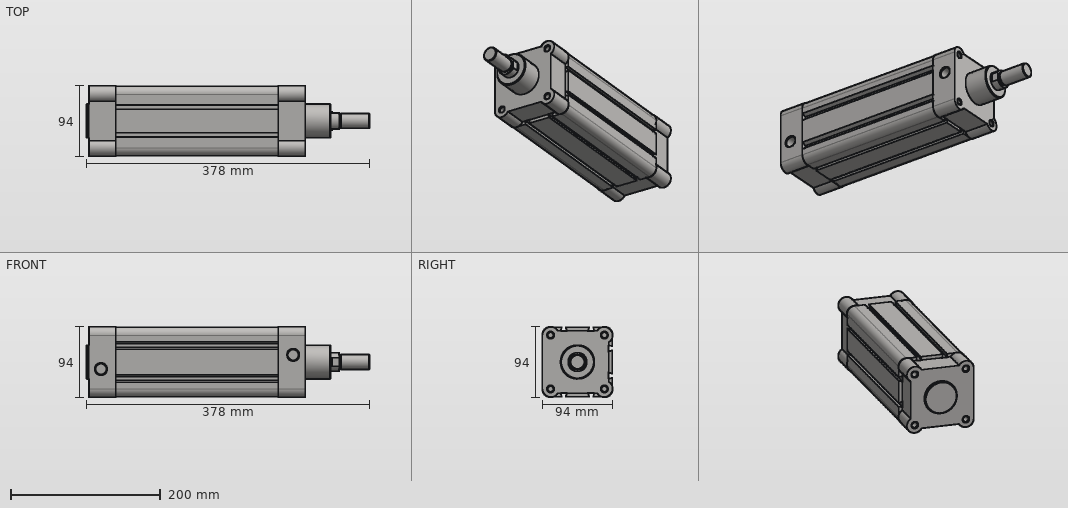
import cadquery as cq


total_length = 378.0
spigot_length = 3.5
cap_length = 36.0
rear_joint_x = spigot_length + cap_length
front_joint_x = 256.3
front_face_x = front_joint_x + cap_length
collar_end_x = 326.0

cap_width = 94.0
cap_half = cap_width / 2
bolt_offset = 36.0
boss_radius = cap_half - bolt_offset
recess_half = 41.5
bolt_hole_radius = 3.8
bolt_hole_depth = 15.0
bolt_hole_chamfer = 1.0
collar_radius = 22.5
collar_chamfer = 1.0

port_inset = 16.3
port_offset_z = 9.5
port_radius = 7.0
port_depth = 15.0
port_chamfer = 1.0

barrel_half = 46.5
barrel_corner_radius = barrel_half - bolt_offset

slot_mouth_inner = 16.0
slot_mouth_outer = 21.0
slot_floor_inner = 14.0
slot_floor_outer = 22.0
slot_depth = 5.3

groove_mouth_inner = 17.0
groove_mouth_outer = 27.2
groove_floor_inner = 19.5
groove_floor_outer = 24.5
groove_depth = 6.5

rod_radius = 12.5
flats_half = 11.0
flats_start_x = collar_end_x + 2.0
shoulder_x = 337.0
neck_radius = 9.0
neck_end_x = 339.0
thread_diameter = 20.0
thread_radius = thread_diameter / 2
thread_chamfer = thread_radius - neck_radius


def block(start_x, end_x, min_y, max_y, half_z):
    """Box between two X and two Y positions, symmetric in Z."""
    return cq.Workplane("XY").box(
        end_x - start_x, max_y - min_y, 2 * half_z, centered=False
    ).translate((start_x, min_y, -half_z))


def rod_along_x(start_x, end_x, radius):
    """Cylinder on the X axis."""
    return cq.Workplane("YZ", origin=(start_x, 0, 0)).circle(radius).extrude(end_x - start_x)


def chamfered_drill(radius, depth, chamfer, point, direction):
    """Tool for a blind hole with a chamfered mouth, drilled from a point."""
    start = cq.Vector(*point)
    axis = cq.Vector(*direction)
    bore = cq.Solid.makeCylinder(radius, depth, start, axis)
    mouth = cq.Solid.makeCone(radius + chamfer, radius, chamfer, start, axis)
    return bore.fuse(mouth)


def make_cap(joint_x, outward, port_z):
    """End cap on a barrel joint; outward is -1 for the rear cap and +1 for the front cap."""
    outer_x = joint_x + outward * cap_length
    start_x = min(joint_x, outer_x)
    end_x = max(joint_x, outer_x)

    cap = block(start_x, end_x, -bolt_offset, recess_half, recess_half)
    cap = cap.union(block(start_x, end_x, -cap_half, -bolt_offset, bolt_offset))

    corners = [(y, z) for y in (-bolt_offset, bolt_offset) for z in (-bolt_offset, bolt_offset)]
    bosses = cq.Workplane("YZ", origin=(start_x, 0, 0)).pushPoints(corners)
    cap = cap.union(bosses.circle(boss_radius).extrude(cap_length))

    for y, z in corners:
        cap = cap.cut(cq.Workplane(chamfered_drill(
            bolt_hole_radius, bolt_hole_depth, bolt_hole_chamfer, (outer_x, y, z), (-outward, 0, 0)
        )))

    port_x = outer_x - outward * port_inset
    port = chamfered_drill(
        port_radius, port_depth, port_chamfer, (port_x, -cap_half, port_z), (0, 1, 0)
    )
    return cap.cut(cq.Workplane(port))


def make_rear_cap():
    spigot = rod_along_x(0, spigot_length, collar_radius).faces("<X").chamfer(collar_chamfer)
    return make_cap(rear_joint_x, -1, -port_offset_z).union(spigot)


def make_front_cap():
    collar = rod_along_x(front_face_x, collar_end_x, collar_radius).faces(">X").chamfer(collar_chamfer)
    return make_cap(front_joint_x, 1, port_offset_z).union(collar)


def groove_pair(mouth_inner, mouth_outer, floor_inner, floor_outer, depth):
    """Tools for two mirrored grooves running along the +Z side of the barrel."""
    floor_z = barrel_half - depth
    pair = cq.Workplane("YZ", origin=(rear_joint_x, 0, 0))
    for side in (-1, 1):
        pair = pair.polyline([
            (side * mouth_inner, barrel_half),
            (side * mouth_outer, barrel_half),
            (side * floor_outer, floor_z),
            (side * floor_inner, floor_z),
        ]).close()
    return pair.extrude(front_joint_x - rear_joint_x)


def make_barrel():
    barrel = block(rear_joint_x, front_joint_x, -barrel_half, barrel_half, barrel_half)
    barrel = barrel.edges("|X").fillet(barrel_corner_radius)

    sensor_slots = groove_pair(
        slot_mouth_inner, slot_mouth_outer, slot_floor_inner, slot_floor_outer, slot_depth
    )
    for angle in (0, 180, 270):
        barrel = barrel.cut(sensor_slots.rotate((0, 0, 0), (1, 0, 0), angle))

    port_side_grooves = groove_pair(
        groove_mouth_inner, groove_mouth_outer, groove_floor_inner, groove_floor_outer, groove_depth
    )
    return barrel.cut(port_side_grooves.rotate((0, 0, 0), (1, 0, 0), 90))


def make_rod():
    rod = rod_along_x(collar_end_x, shoulder_x, rod_radius)
    for min_y, max_y in ((flats_half, rod_radius), (-rod_radius, -flats_half)):
        rod = rod.cut(block(flats_start_x, shoulder_x, min_y, max_y, rod_radius))

    neck = rod_along_x(shoulder_x, neck_end_x, neck_radius)
    thread = rod_along_x(neck_end_x, total_length, thread_radius)
    thread = thread.faces("<X or >X").chamfer(thread_chamfer)
    return rod.union(neck).union(thread)


rear_cap = make_rear_cap()
barrel = make_barrel()
front_cap = make_front_cap()
piston_rod = make_rod()

result = cq.Compound.makeCompound([
    rear_cap.val(),
    barrel.val(),
    front_cap.val(),
    piston_rod.val(),
])